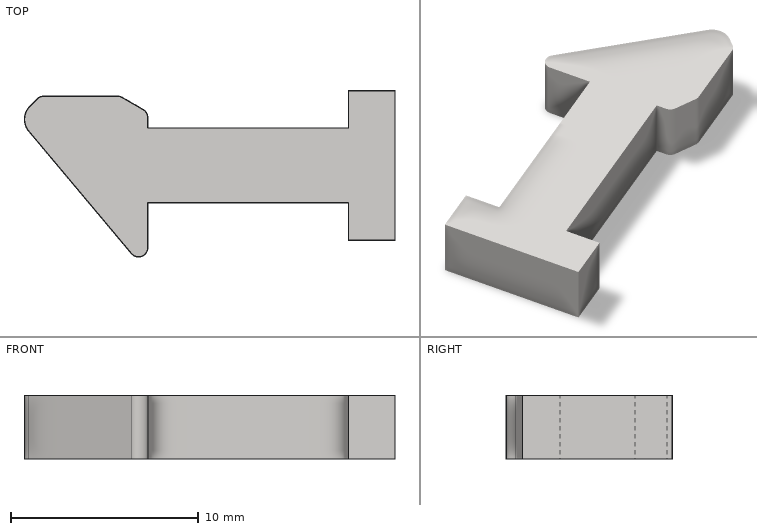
import cadquery as cq
import math

length = 19.8
thickness = 3.4
flange_length = 2.5
flange_width = 8.0
neck_width = 4.0

head_length = 6.6
head_top = 3.7
head_bottom = -4.9
shoulder_run = 1.48
shoulder_angle = math.radians(30)
ramp_angle = math.radians(50)
nose_angle = math.radians(45)
nose_radius = 0.99
corner_radius = 0.5


def tangent_corner_offset(angle):
    """Distance from a fillet centre to the sharp corner, along a vertical side."""
    return corner_radius * (1 + math.sin(angle)) / math.cos(angle)


def make_head():
    tip_centre_y = head_bottom + corner_radius
    tip_y = tip_centre_y - tangent_corner_offset(ramp_angle)

    ramp_slope = math.tan(ramp_angle)
    nose_centre_y = (
        tip_y + (head_length - nose_radius) * ramp_slope + nose_radius / math.cos(ramp_angle)
    )

    nose_slope = math.tan(nose_angle)
    flat_y_at_zero = nose_centre_y + nose_radius / math.cos(nose_angle) - nose_radius * nose_slope
    ramp_y_at_zero = tip_y + head_length * ramp_slope
    nose_x = (ramp_y_at_zero - flat_y_at_zero) / (nose_slope + ramp_slope)
    nose_y = flat_y_at_zero + nose_x * nose_slope
    nose_top_x = (head_top - flat_y_at_zero) / nose_slope

    shoulder_y = head_top - shoulder_run * math.tan(shoulder_angle)
    blunt_corners = [
        (head_length, tip_y),
        (head_length, shoulder_y),
        (head_length - shoulder_run, head_top),
        (nose_top_x, head_top),
    ]
    head = (
        cq.Workplane("XY")
        .polyline(blunt_corners + [(nose_x, nose_y)])
        .close()
        .extrude(thickness)
    )
    head = head.edges("|Z").edges("<X").fillet(nose_radius)
    for x, y in blunt_corners:
        corner_edge = cq.selectors.NearestToPointSelector((x, y, thickness / 2))
        head = head.edges("|Z").edges(corner_edge).fillet(corner_radius)
    return head


def make_bar(start_x, end_x, width):
    return (
        cq.Workplane("XY")
        .box(end_x - start_x, width, thickness, centered=(False, True, False))
        .translate((start_x, 0, 0))
    )


flange_start = length - flange_length
neck = make_bar(head_length, flange_start, neck_width)
flange = make_bar(flange_start, length, flange_width)
result = make_head().union(neck).union(flange).clean()